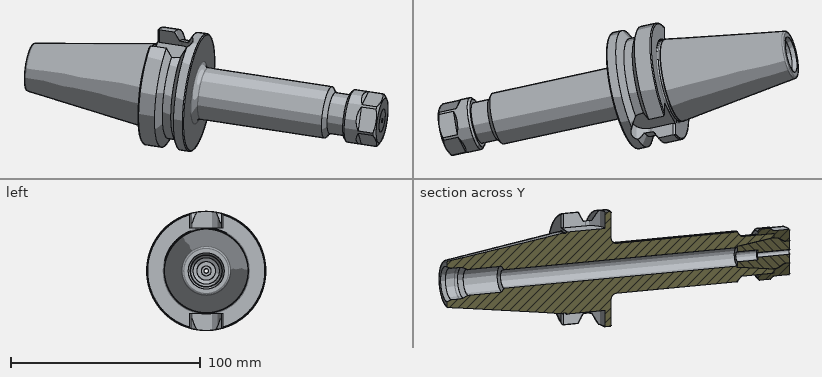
import cadquery as cq
import math

OVERALL_LENGTH = 192.5

TAPER_LARGE_R = 44.5 / 2
TAPER_LENGTH = 65.2
TAPER_SLOPE = 3.5 / 24
TAPER_SMALL_R = TAPER_LARGE_R - TAPER_LENGTH * TAPER_SLOPE
TAPER_END_FILLET = 1.0
RELIEF_R = 43.9 / 2
RELIEF_FILLET = 0.8

FLANGE_R = 63.0 / 2
FLANGE_START = 67.3
FLANGE_END = 92.4
FLANGE_CHAMFER = 0.5
GROOVE_FLOOR_R = 53.0 / 2
GROOVE_CENTER = 81.8
GROOVE_FLOOR_WIDTH = 4.6
GROOVE_WALL_ANGLE = 30
GROOVE_WALL_WIDTH = (FLANGE_R - GROOVE_FLOOR_R) * math.tan(math.radians(GROOVE_WALL_ANGLE))
SLOT_WIDTH = 16.0
SLOT_FLOOR = 22.5
SLOT_END = 88.7
SLOT_MOUTH_CHAMFER = 1.0

SHAFT_R = 27.5 / 2
SHAFT_FILLET = 2.9
SHAFT_END = 165.3
SHAFT_CHAMFER = 2.3
NOSE_R = 22.0 / 2
NOSE_END = 183.5

BORE_MOUTH_R = 19.0 / 2
BORE_MOUTH_DEPTH = 2.3
PILOT_R = 17.0 / 2
PILOT_DEPTH = 7.3
PILOT_END_R = 16.5 / 2
PILOT_END_DEPTH = 9.0
THREAD_HOLE_START = 11.7
THREAD_HOLE_R = 13.9 / 2
THREAD_HOLE_DEPTH = 30.8
DRILL_TIP = 1.2
THROUGH_BORE_R = 9.8 / 2

COLLET_R = 17.0 / 2
COLLET_BACK_R = 11.2 / 2
COLLET_TAPER_ANGLE = 8
COLLET_TAPER_LENGTH = (COLLET_R - COLLET_BACK_R) / math.tan(math.radians(COLLET_TAPER_ANGLE))
COLLET_BACK = NOSE_END - COLLET_TAPER_LENGTH
COLLET_RIM_END = 185.7
COLLET_FRONT_R = 12.3 / 2
COLLET_FRONT_ANGLE = 30
COLLET_CONE_LENGTH = (COLLET_R - COLLET_FRONT_R) / math.tan(math.radians(COLLET_FRONT_ANGLE))
COLLET_CONE_END = COLLET_RIM_END + COLLET_CONE_LENGTH
COLLET_RELIEF_R = 5.2 / 2
COLLET_RELIEF_DEPTH = 11.5
TOOL_HOLE_R = 2.3 / 2

NUT_R = 28.0 / 2
NUT_BACK = 174.3
NUT_BACK_CHAMFER = 1.2
NUT_FACE_R = 23.9 / 2
NUT_FACE_ANGLE = 30
NUT_FACE_CHAMFER = (NUT_R - NUT_FACE_R) * math.tan(math.radians(NUT_FACE_ANGLE))
HEX_SIDES = 6
HEX_ACROSS_FLATS = 25.0
HEX_START = 183.2
LONG_FLAT_START = 181.6
LONG_FLAT_INDEX = 5


def turn(profile):
    """Revolve a closed (x, radius) profile about the X axis."""
    return profile.close().revolve(360, (0, 0, 0), (1, 0, 0))


def turn_points(points):
    return turn(cq.Workplane("XY").polyline(points))


def holder_blank():
    """Taper, flange, shaft and nose, still without bore and slots."""
    relief_step = TAPER_LARGE_R - RELIEF_R
    diagonal = math.sqrt(0.5)
    relief_center = (FLANGE_START - RELIEF_FILLET, RELIEF_R + RELIEF_FILLET)
    shaft_center = (FLANGE_END + SHAFT_FILLET, SHAFT_R + SHAFT_FILLET)
    groove_half = GROOVE_FLOOR_WIDTH / 2
    groove_half_top = groove_half + GROOVE_WALL_WIDTH
    profile = (
        cq.Workplane("XY")
        .moveTo(0, 0)
        .lineTo(0, TAPER_SMALL_R)
        .lineTo(TAPER_LENGTH, TAPER_LARGE_R)
        .lineTo(TAPER_LENGTH + relief_step, RELIEF_R)
        .lineTo(relief_center[0], RELIEF_R)
        .threePointArc(
            (relief_center[0] + RELIEF_FILLET * diagonal, relief_center[1] - RELIEF_FILLET * diagonal),
            (FLANGE_START, relief_center[1]),
        )
        .lineTo(FLANGE_START, FLANGE_R - FLANGE_CHAMFER)
        .lineTo(FLANGE_START + FLANGE_CHAMFER, FLANGE_R)
        .lineTo(GROOVE_CENTER - groove_half_top, FLANGE_R)
        .lineTo(GROOVE_CENTER - groove_half, GROOVE_FLOOR_R)
        .lineTo(GROOVE_CENTER + groove_half, GROOVE_FLOOR_R)
        .lineTo(GROOVE_CENTER + groove_half_top, FLANGE_R)
        .lineTo(FLANGE_END - FLANGE_CHAMFER, FLANGE_R)
        .lineTo(FLANGE_END, FLANGE_R - FLANGE_CHAMFER)
        .lineTo(FLANGE_END, shaft_center[1])
        .threePointArc(
            (shaft_center[0] - SHAFT_FILLET * diagonal, shaft_center[1] - SHAFT_FILLET * diagonal),
            (shaft_center[0], SHAFT_R),
        )
        .lineTo(SHAFT_END - SHAFT_CHAMFER, SHAFT_R)
        .lineTo(SHAFT_END, NOSE_R)
        .lineTo(NOSE_END, NOSE_R)
        .lineTo(NOSE_END, 0)
    )
    return turn(profile).faces("<X").edges().fillet(TAPER_END_FILLET)


def holder_bore():
    """Threaded hole for the pull stud, through bore and collet seat."""
    return turn_points([
        (0, 0),
        (0, BORE_MOUTH_R),
        (BORE_MOUTH_DEPTH, PILOT_R),
        (PILOT_DEPTH, PILOT_R),
        (PILOT_END_DEPTH, PILOT_END_R),
        (THREAD_HOLE_START, THREAD_HOLE_R),
        (THREAD_HOLE_DEPTH, THREAD_HOLE_R),
        (THREAD_HOLE_DEPTH + DRILL_TIP, THROUGH_BORE_R),
        (COLLET_BACK, THROUGH_BORE_R),
        (COLLET_BACK, COLLET_BACK_R),
        (NOSE_END, COLLET_R),
        (NOSE_END, 0),
    ])


def driving_slot(side):
    """Round-ended slot on the +Z (side = 1) or -Z (side = -1) edge of the flange."""
    half = SLOT_WIDTH / 2
    mouth = half + SLOT_MOUTH_CHAMFER
    return (
        cq.Workplane("XY", origin=(0, 0, side * SLOT_FLOOR))
        .moveTo(FLANGE_START, -mouth)
        .lineTo(FLANGE_START + SLOT_MOUTH_CHAMFER, -half)
        .lineTo(SLOT_END - half, -half)
        .threePointArc((SLOT_END, 0), (SLOT_END - half, half))
        .lineTo(FLANGE_START + SLOT_MOUTH_CHAMFER, half)
        .lineTo(FLANGE_START, mouth)
        .close()
        .extrude(side * (FLANGE_R - SLOT_FLOOR))
    )


def make_holder():
    holder = holder_blank().cut(holder_bore())
    for side in (1, -1):
        holder = holder.cut(driving_slot(side))
    return holder


def make_collet():
    return turn_points([
        (COLLET_BACK, COLLET_RELIEF_R),
        (COLLET_BACK, COLLET_BACK_R),
        (NOSE_END, COLLET_R),
        (COLLET_RIM_END, COLLET_R),
        (COLLET_CONE_END, COLLET_FRONT_R),
        (OVERALL_LENGTH, COLLET_FRONT_R),
        (OVERALL_LENGTH, TOOL_HOLE_R),
        (COLLET_BACK + COLLET_RELIEF_DEPTH, TOOL_HOLE_R),
        (COLLET_BACK + COLLET_RELIEF_DEPTH, COLLET_RELIEF_R),
    ])


def nut_blank():
    """Turned nut, bored to fit over the nose and the front of the collet."""
    return turn_points([
        (NUT_BACK, NOSE_R),
        (NUT_BACK, NUT_R - NUT_BACK_CHAMFER),
        (NUT_BACK + NUT_BACK_CHAMFER, NUT_R),
        (OVERALL_LENGTH - NUT_FACE_CHAMFER, NUT_R),
        (OVERALL_LENGTH, NUT_FACE_R),
        (OVERALL_LENGTH, COLLET_FRONT_R),
        (COLLET_CONE_END, COLLET_FRONT_R),
        (COLLET_RIM_END, COLLET_R),
        (NOSE_END, COLLET_R),
        (NOSE_END, NOSE_R),
    ])


def wrench_flat(start):
    """Material removed above one flat, with a 45 degree run-out at its back."""
    flat_height = HEX_ACROSS_FLATS / 2
    depth = NUT_R - flat_height
    return (
        cq.Workplane("XZ")
        .polyline([
            (start, flat_height),
            (start - depth, NUT_R),
            (OVERALL_LENGTH, NUT_R),
            (OVERALL_LENGTH, flat_height),
        ])
        .close()
        .extrude(NUT_R, both=True)
    )


def make_nut():
    nut = nut_blank()
    for index in range(HEX_SIDES):
        angle = index * 360 / HEX_SIDES
        start = LONG_FLAT_START if index == LONG_FLAT_INDEX else HEX_START
        nut = nut.cut(wrench_flat(start).rotate((0, 0, 0), (1, 0, 0), angle))
    return nut


holder = make_holder()
collet = make_collet()
nut = make_nut()

result = cq.Compound.makeCompound([holder.val(), collet.val(), nut.val()])